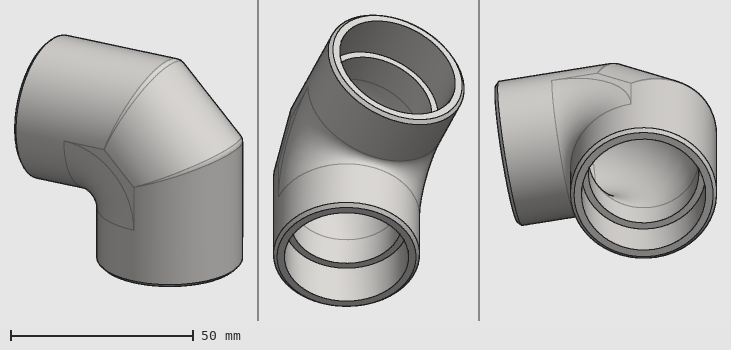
import cadquery as cq
import math

overall = 58.0
outer_diameter = 40.0
socket_diameter = 34.0
bore_diameter = 30.2
socket_depth = 12.8
straight_length = 16.0
bore_bend_radius = 16.0
miter_offset = 9.35
miter_fillet = 2.0
mouth_chamfer = 1.0

outer_radius = outer_diameter / 2
axis = overall - outer_radius
bend_radius = axis - straight_length
miter_start = axis - miter_offset
trim_length = 3 * overall
miter_reach = outer_radius * math.tan(math.radians(22.5))


def bend_middle(radius):
    """X and Z of the halfway point on a quarter bend tangent to both axes."""
    middle = axis - radius * (1 - math.sqrt(0.5))
    return (middle, middle)


def swept_pipe(diameter, radius):
    """Solid round bar along the two straight ends and a quarter bend."""
    path = (
        cq.Workplane("XZ")
        .moveTo(0, axis)
        .lineTo(axis - radius, axis)
        .threePointArc(bend_middle(radius), (axis, axis - radius))
        .lineTo(axis, 0)
    )
    profile = cq.Workplane("YZ").center(0, axis).circle(diameter / 2)
    return profile.sweep(path)


def thick_plate(outline):
    """Outline in XZ, extruded across the full pipe width."""
    return outline.close().extrude(outer_radius, both=True)


def miter_segment(start, direction, outline):
    """Round pipe along a direction, trimmed to an outline in XZ."""
    plane = cq.Plane(
        origin=(start[0], 0, start[1]),
        xDir=(0, 1, 0),
        normal=(direction[0], 0, direction[1]),
    )
    pipe = cq.Workplane(plane).circle(outer_radius).extrude(trim_length)
    return pipe.intersect(thick_plate(cq.Workplane("XZ").polyline(outline)))


def mitered_back():
    """Outer half of the elbow: two straight lengths joined by a diagonal one."""
    upper_inner = (miter_start, axis)
    upper_outer = (miter_start + miter_reach, overall)
    lower_inner = (axis, miter_start)
    lower_outer = (overall, miter_start + miter_reach)
    upper_outline = [(0, axis), upper_inner, upper_outer, (0, overall)]
    lower_outline = [(axis, 0), lower_inner, lower_outer, (overall, 0)]
    diagonal_outline = [upper_inner, upper_outer, lower_outer, lower_inner]
    upper = miter_segment((0, axis), (1, 0), upper_outline)
    lower = miter_segment((axis, 0), (0, 1), lower_outline)
    diagonal_start = (miter_start - overall, axis + overall)
    diagonal = miter_segment(diagonal_start, (1, -1), diagonal_outline)
    return upper.union(diagonal).union(lower)


def bend_web():
    """Flat-sided fill between the inner bend and the miter corners."""
    return thick_plate(
        cq.Workplane("XZ")
        .moveTo(straight_length, axis)
        .lineTo(miter_start, axis)
        .lineTo(axis, miter_start)
        .lineTo(axis, straight_length)
        .threePointArc(bend_middle(bend_radius), (straight_length, axis))
    )


def sockets():
    """Wider counterbore in each mouth."""
    left = cq.Workplane("YZ").center(0, axis).circle(socket_diameter / 2).extrude(socket_depth)
    bottom = cq.Workplane("XY").center(axis, 0).circle(socket_diameter / 2).extrude(socket_depth)
    return left.union(bottom)


body = swept_pipe(outer_diameter, bend_radius).union(mitered_back()).union(bend_web())

body = body.edges("%ELLIPSE").fillet(miter_fillet)

body = body.faces("<X or <Z").edges().chamfer(mouth_chamfer)

result = body.cut(swept_pipe(bore_diameter, bore_bend_radius)).cut(sockets())